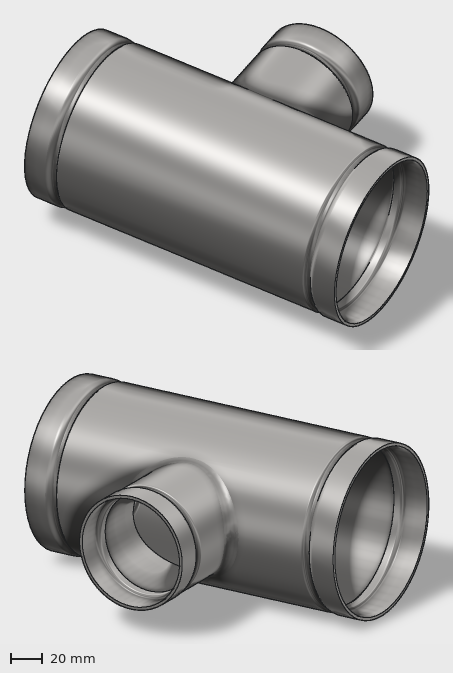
import cadquery as cq

wall = 2.03
run_length = 228.6
branch_reach = 114.3

run_end_diameter = 114.3
run_groove_diameter = 108.84
branch_end_diameter = 76.2
branch_groove_diameter = 70.36
body_step = 0.56

seat_length = 15.4
groove_floor_start = 19.8
groove_floor_end = 21.3
body_start = 24.0
seat_side_arc_joint = 19.1
body_side_arc_joint = 22.55

bore_bend_length = 3.1
bore_floor_start = seat_length + bore_bend_length
bore_floor_end = 22.1
bore_body_start = bore_floor_end + bore_bend_length
bore_arc_share = 0.5

saddle_fillet = 6.4


def add_s_bend(outline, start, end, first_share):
    """Join two points on parallel lines by two tangent arcs, the first covering a given share."""
    middle_x = start[0] + first_share * (end[0] - start[0])
    middle_y = start[1] + first_share * (end[1] - start[1])
    return outline.tangentArcPoint((middle_x, middle_y), relative=False).tangentArcPoint(end, relative=False)


def grooved_pipe(length, end_diameter, groove_diameter, is_bore):
    """Solid about X with its grooved end at x = 0: the pipe's outside, or its bore one wall inward."""
    if is_bore:
        inset = wall
        floor_start_x, floor_end_x, body_start_x = bore_floor_start, bore_floor_end, bore_body_start
        seat_share = bore_arc_share
        floor_share = bore_arc_share
    else:
        inset = 0
        floor_start_x, floor_end_x, body_start_x = groove_floor_start, groove_floor_end, body_start
        seat_share = (seat_side_arc_joint - seat_length) / (groove_floor_start - seat_length)
        floor_share = (body_side_arc_joint - groove_floor_end) / (body_start - groove_floor_end)

    end_radius = end_diameter / 2 - inset
    body_radius = end_radius - body_step
    groove_radius = groove_diameter / 2 - inset
    seat = (seat_length, end_radius)
    floor_start = (floor_start_x, groove_radius)
    floor_end = (floor_end_x, groove_radius)
    body = (body_start_x, body_radius)

    outline = cq.Workplane("XY").lineTo(0, end_radius).lineTo(*seat)
    outline = add_s_bend(outline, seat, floor_start, seat_share).lineTo(*floor_end)
    outline = add_s_bend(outline, floor_end, body, floor_share)
    outline = outline.lineTo(length, body_radius).lineTo(length, 0).close()
    return outline.revolve(360, (0, 0, 0), (1, 0, 0))


def run_solid(is_bore):
    half = grooved_pipe(run_length / 2, run_end_diameter, run_groove_diameter, is_bore)
    half = half.translate((-run_length / 2, 0, 0))
    return half.union(half.mirror("YZ")).clean()


def branch_solid(is_bore):
    branch = grooved_pipe(branch_reach, branch_end_diameter, branch_groove_diameter, is_bore)
    return branch.rotate((0, 0, 0), (0, 0, 1), -90).translate((0, branch_reach, 0))


def tee_outside():
    tee = run_solid(is_bore=False).union(branch_solid(is_bore=False))
    half_width = branch_end_diameter / 2
    run_radius = run_end_diameter / 2
    saddle_box = cq.selectors.BoxSelector(
        (-half_width, 0, -half_width), (half_width, run_radius, half_width), boundingbox=True
    )
    return tee.edges(saddle_box).fillet(saddle_fillet)


result = tee_outside().cut(run_solid(is_bore=True)).cut(branch_solid(is_bore=True))